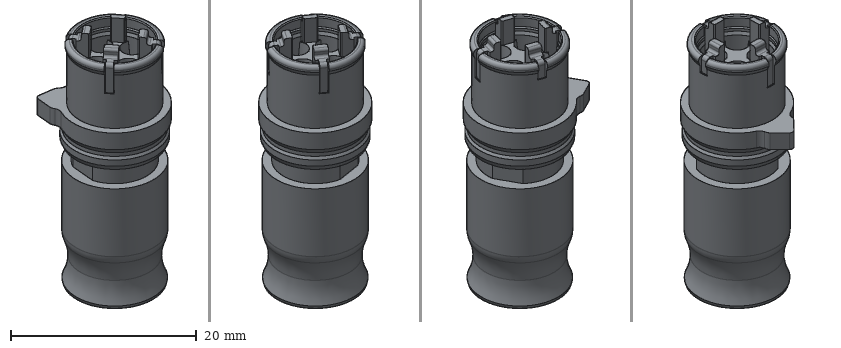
import cadquery as cq
import math

total_height = 32.0
lip_height = 0.4
waist_z = 3.25
flare_start_z = 5.85
shoulder_z = 6.75
sleeve_top_z = 15.5
collar_bottom_z = 17.95
rib_bottom_z = 18.53
rib_top_z = 19.33
groove_bottom_z = 19.65
groove_top_z = 20.13
flange_bottom_z = 20.77
flange_top_z = 22.9
rim_bottom_z = 29.75
rim_band_bottom_z = 30.25
rim_top_z = 30.95

lip_radius = 5.6
mouth_radius = 5.7
waist_radius = 5.05
flare_start_radius = 5.57
sleeve_radius = 5.73
neck_radius = 4.7
collar_end_radius = 5.65
rib_radius = 5.92
groove_radius = 5.7
flange_radius = 12.2 / 2
barrel_radius = 5.2
rim_radius = 5.38
rim_round = 0.48
neck_flat_distance = 4.4

bore_radius = 4.15
mouth_bore_radius = 4.48
mouth_chamfer = 0.13
ledge_radius = 4.35
step_top_z = 29.7
step_bottom_z = 29.55
ledge_top_z = 29.2
ledge_bottom_z = 28.8

tab_corner_round = 0.5
tab_edge_end = 3.52
tab_bend = (2.95, 5.85)
tab_convex_mid = (3.23, 6.0)
tab_concave_mid = (2.5, 5.7)
tab_root = 2.0

arm_angles = [45, 135, 225, 315]
key_angle = 135
slot_width = 1.05
slot_bottom_z = 27.35
key_slot_bottom_z = 28.9
stem_width = 0.85
stem_outer_radius = 5.02
stem_top_z = 31.0
stem_round = 0.48
post_width = 1.6
post_inner_radius = 2.62
post_outer_radius = 3.55
post_round = 0.32
post_chamfer = 0.13

floor_z = 25.6
core_radius = 3.15
core_top_z = 28.9
contact_angles = [0, 90, 180, 270]
contact_circle_radius = 2.45
contact_hole_radius = 0.58
well_circle_radius = 2.4
well_top_radius = 1.35
well_bottom_radius = 1.0
well_bottom_z = 23.68


def arc_middle(start, end, radius):
    """Middle of the short arc that bulges to the left of the line from start to end."""
    dx = end[0] - start[0]
    dy = end[1] - start[1]
    chord = math.hypot(dx, dy)
    rise = radius - math.sqrt(radius**2 - chord**2 / 4)
    return (
        (start[0] + end[0]) / 2 - dy / chord * rise,
        (start[1] + end[1]) / 2 + dx / chord * rise,
    )


def tangent_radius(dr, dz):
    """Radius of an arc that starts along the axis and moves dr sideways over dz."""
    return (dr**2 + dz**2) / (2 * dr)


def outer_shape():
    """Turned outside of the housing, still without bore, tab, flats and slots."""
    mouth = (mouth_radius, lip_height)
    waist = (waist_radius, waist_z)
    flare_start = (flare_start_radius, flare_start_z)
    shoulder = (sleeve_radius, shoulder_z)
    lower_radius = tangent_radius(mouth_radius - waist_radius, waist_z - lip_height)
    upper_radius = tangent_radius(flare_start_radius - waist_radius, flare_start_z - waist_z)
    shoulder_round = tangent_radius(sleeve_radius - flare_start_radius, shoulder_z - flare_start_z)
    rim_round_mid = (
        rim_radius - rim_round * (1 - math.sqrt(0.5)),
        rim_top_z - rim_round * (1 - math.sqrt(0.5)),
    )
    return (
        cq.Workplane("XZ")
        .moveTo(0, 0)
        .lineTo(lip_radius, 0)
        .lineTo(*mouth)
        .threePointArc(arc_middle(mouth, waist, lower_radius), waist)
        .threePointArc(arc_middle(waist, flare_start, upper_radius), flare_start)
        .threePointArc(arc_middle(shoulder, flare_start, shoulder_round), shoulder)
        .lineTo(sleeve_radius, sleeve_top_z)
        .lineTo(neck_radius, sleeve_top_z)
        .lineTo(neck_radius, collar_bottom_z)
        .lineTo(collar_end_radius, collar_bottom_z)
        .lineTo(rib_radius, rib_bottom_z)
        .lineTo(rib_radius, rib_top_z)
        .lineTo(groove_radius, groove_bottom_z)
        .lineTo(groove_radius, groove_top_z)
        .lineTo(flange_radius, flange_bottom_z)
        .lineTo(flange_radius, flange_top_z)
        .lineTo(barrel_radius, flange_top_z)
        .lineTo(barrel_radius, rim_bottom_z)
        .lineTo(rim_radius, rim_band_bottom_z)
        .lineTo(rim_radius, rim_top_z - rim_round)
        .threePointArc(rim_round_mid, (rim_radius - rim_round, rim_top_z))
        .lineTo(0, rim_top_z)
        .close()
        .revolve(360, (0, 0, 0), (0, 1, 0))
    )


def bore():
    """Through bore that widens over two sloped steps to a chamfered mouth."""
    return (
        cq.Workplane("XZ")
        .moveTo(0, 0)
        .lineTo(bore_radius, 0)
        .lineTo(bore_radius, ledge_bottom_z)
        .lineTo(ledge_radius, ledge_top_z)
        .lineTo(ledge_radius, step_bottom_z)
        .lineTo(mouth_bore_radius, step_top_z)
        .lineTo(mouth_bore_radius, rim_top_z - mouth_chamfer)
        .lineTo(mouth_bore_radius + mouth_chamfer, rim_top_z)
        .lineTo(0, rim_top_z)
        .close()
        .revolve(360, (0, 0, 0), (0, 1, 0))
    )


def corner_tab():
    """Square-cornered tab at the -X -Y side of the flange."""
    root_reach = math.sqrt(flange_radius**2 - tab_root**2)

    def on_x_side(point):
        return (-point[1], -point[0])

    def on_y_side(point):
        return (-point[0], -point[1])

    tab = (
        cq.Workplane("XY", origin=(0, 0, flange_bottom_z))
        .moveTo(0, 0)
        .lineTo(*on_y_side((tab_root, root_reach)))
        .threePointArc(on_y_side(tab_concave_mid), on_y_side(tab_bend))
        .threePointArc(on_y_side(tab_convex_mid), on_y_side((tab_edge_end, flange_radius)))
        .lineTo(-flange_radius, -flange_radius)
        .lineTo(*on_x_side((tab_edge_end, flange_radius)))
        .threePointArc(on_x_side(tab_convex_mid), on_x_side(tab_bend))
        .threePointArc(on_x_side(tab_concave_mid), on_x_side((tab_root, root_reach)))
        .close()
        .extrude(flange_top_z - flange_bottom_z)
    )
    corner = cq.selectors.NearestToPointSelector(
        (-flange_radius, -flange_radius, (flange_bottom_z + flange_top_z) / 2)
    )
    return tab.edges(corner).fillet(tab_corner_round)


def neck_flat_cuts():
    """Blocks that cut the two flats of the neck."""
    depth = neck_radius - neck_flat_distance
    return (
        cq.Workplane("XY", origin=(0, 0, sleeve_top_z))
        .pushPoints([(0, side * (neck_flat_distance + depth / 2)) for side in (-1, 1)])
        .rect(2 * neck_radius, depth)
        .extrude(collar_bottom_z - sleeve_top_z)
    )


def slot_floor(angle):
    return key_slot_bottom_z if angle == key_angle else slot_bottom_z


def slot_cut(angle):
    """Slot through the barrel wall, open at the rim."""
    return (
        cq.Workplane("XY", origin=(0, 0, slot_floor(angle)))
        .center(rim_radius / 2, 0)
        .rect(rim_radius, slot_width)
        .extrude(rim_top_z - slot_floor(angle))
        .rotate((0, 0, 0), (0, 0, 1), angle)
    )


def make_housing():
    housing = outer_shape().union(corner_tab())
    housing = housing.cut(bore()).cut(neck_flat_cuts())
    for angle in arm_angles:
        housing = housing.cut(slot_cut(angle))
    return housing


def arm(angle):
    """Wide post with a raised hook and a narrow stem that stands in the slot."""
    raised_outline = (
        cq.Workplane("XZ", origin=(0, post_width / 2, 0))
        .moveTo(post_inner_radius, floor_z)
        .lineTo(post_inner_radius, total_height)
        .lineTo(post_outer_radius - post_round, total_height)
        .radiusArc((post_outer_radius, total_height - post_round), post_round)
        .lineTo(post_outer_radius, stem_top_z + post_round)
        .radiusArc((post_outer_radius + post_round, stem_top_z), -post_round)
        .lineTo(bore_radius + post_round, stem_top_z)
        .lineTo(bore_radius + post_round, floor_z)
        .close()
    )
    envelope = cq.Workplane("XY").circle(bore_radius).extrude(total_height)
    post = raised_outline.extrude(post_width).faces("<X").edges("|Z").chamfer(post_chamfer)
    post = post.intersect(envelope)
    stem = (
        cq.Workplane("XZ", origin=(0, stem_width / 2, 0))
        .moveTo(post_outer_radius, slot_floor(angle))
        .lineTo(post_outer_radius, stem_top_z)
        .lineTo(stem_outer_radius - stem_round, stem_top_z)
        .radiusArc((stem_outer_radius, stem_top_z - stem_round), stem_round)
        .lineTo(stem_outer_radius, slot_floor(angle))
        .close()
        .extrude(stem_width)
    )
    return post.union(stem).rotate((0, 0, 0), (0, 0, 1), angle)


def contact_cut(angle):
    """Contact hole under a tapered well that lies slightly closer to the axis."""
    hole = (
        cq.Workplane("XY", origin=(contact_circle_radius, 0, collar_bottom_z))
        .circle(contact_hole_radius)
        .extrude(well_bottom_z - collar_bottom_z)
    )
    well = (
        cq.Workplane("XZ")
        .moveTo(0, well_bottom_z)
        .lineTo(well_bottom_radius, well_bottom_z)
        .lineTo(well_top_radius, core_top_z)
        .lineTo(0, core_top_z)
        .close()
        .revolve(360, (0, 0, 0), (0, 1, 0))
        .translate((well_circle_radius, 0, 0))
    )
    return hole.union(well).rotate((0, 0, 0), (0, 0, 1), angle)


def make_insert():
    base = (
        cq.Workplane("XY", origin=(0, 0, collar_bottom_z))
        .circle(bore_radius)
        .extrude(floor_z - collar_bottom_z)
    )
    core = cq.Workplane("XY", origin=(0, 0, floor_z)).circle(core_radius).extrude(core_top_z - floor_z)
    insert = base.union(core)
    for angle in arm_angles:
        insert = insert.union(arm(angle))
    for angle in contact_angles:
        insert = insert.cut(contact_cut(angle))
    return insert


housing = make_housing()
contact_insert = make_insert()
result = cq.Compound.makeCompound([housing.solids().val(), contact_insert.solids().val()])